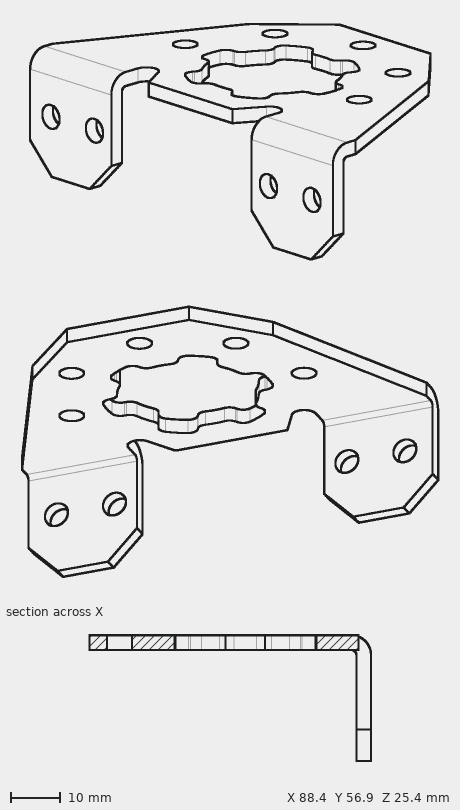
import cadquery as cq
import math

COS_45 = math.cos(math.radians(45))

SHEET = 3.0
INNER_BEND_RADIUS = 1.0
OUTER_BEND_RADIUS = INNER_BEND_RADIUS + SHEET
HALF_WIDTH = 88.39 / 2
HEIGHT = 25.4
LENGTH = 56.9

PITCH_RADIUS = 25.4
HOLE_DIAMETER = 5.0
HOLE_ANGLES = (0, 45, 90, 135, 180)

FRONT_Y = -PITCH_RADIUS
BACK_Y = FRONT_Y + LENGTH
BEND_START_Y = FRONT_Y + OUTER_BEND_RADIUS
BACK_HALF_WIDTH = 13.3
SHOULDER_X = 26.3
SIDE_STRAIGHT = 6.35
SHOULDER_Y = BACK_Y - (SHOULDER_X - BACK_HALF_WIDTH)
SIDE_START_Y = FRONT_Y + SIDE_STRAIGHT

RELIEF_RADIUS = HOLE_DIAMETER / 2
RELIEF_OFFSET = PITCH_RADIUS * COS_45
RELIEF_SLOPE = math.radians(60)
MIDDLE_FRONT_Y = -22.86

TAB_INNER_X = RELIEF_OFFSET + RELIEF_RADIUS
TAB_CHAMFER = 6.35
TAB_HOLE_XS = (25.4, 38.1)
TAB_HOLE_Z = -HEIGHT / 2

CORE_RADIUS = 14.3
LOBE_RADIUS = 17.7
LOBE_WIDTH = 8.0
LOBE_COUNT = 6
LOBE_FILLET = 2.0


def make_plate():
    """Flat plate with relief notches, ending where the bends begin."""
    tangent_x = RELIEF_OFFSET - RELIEF_RADIUS * math.sin(RELIEF_SLOPE)
    tangent_y = -RELIEF_OFFSET + RELIEF_RADIUS * math.cos(RELIEF_SLOPE)
    middle_half_width = tangent_x - (tangent_y - MIDDLE_FRONT_Y) / math.tan(RELIEF_SLOPE)
    relief_top = -RELIEF_OFFSET + RELIEF_RADIUS
    return (
        cq.Workplane("XY")
        .moveTo(-BACK_HALF_WIDTH, BACK_Y)
        .lineTo(BACK_HALF_WIDTH, BACK_Y)
        .lineTo(SHOULDER_X, SHOULDER_Y)
        .lineTo(HALF_WIDTH, SIDE_START_Y)
        .lineTo(HALF_WIDTH, BEND_START_Y)
        .lineTo(TAB_INNER_X, BEND_START_Y)
        .lineTo(TAB_INNER_X, -RELIEF_OFFSET)
        .threePointArc((RELIEF_OFFSET, relief_top), (tangent_x, tangent_y))
        .lineTo(middle_half_width, MIDDLE_FRONT_Y)
        .lineTo(-middle_half_width, MIDDLE_FRONT_Y)
        .lineTo(-tangent_x, tangent_y)
        .threePointArc((-RELIEF_OFFSET, relief_top), (-TAB_INNER_X, -RELIEF_OFFSET))
        .lineTo(-TAB_INNER_X, BEND_START_Y)
        .lineTo(-HALF_WIDTH, BEND_START_Y)
        .lineTo(-HALF_WIDTH, SIDE_START_Y)
        .lineTo(-SHOULDER_X, SHOULDER_Y)
        .close()
        .extrude(-SHEET)
    )


def make_right_tab():
    """Bend and downward tab on the +X side, with its two holes."""
    bend_z = -OUTER_BEND_RADIUS
    outer_offset = OUTER_BEND_RADIUS * COS_45
    inner_offset = INNER_BEND_RADIUS * COS_45
    outer_mid = (BEND_START_Y - outer_offset, bend_z + outer_offset)
    inner_mid = (BEND_START_Y - inner_offset, bend_z + inner_offset)
    tab = (
        cq.Workplane("YZ", origin=(TAB_INNER_X, 0, 0))
        .moveTo(BEND_START_Y, 0)
        .threePointArc(outer_mid, (FRONT_Y, bend_z))
        .lineTo(FRONT_Y, -HEIGHT)
        .lineTo(FRONT_Y + SHEET, -HEIGHT)
        .lineTo(FRONT_Y + SHEET, bend_z)
        .threePointArc(inner_mid, (BEND_START_Y, -SHEET))
        .close()
        .extrude(HALF_WIDTH - TAB_INNER_X)
        .faces("<Z")
        .edges("|Y")
        .chamfer(TAB_CHAMFER)
    )
    holes = (
        cq.Workplane("XZ", origin=(0, FRONT_Y, 0))
        .pushPoints([(x, TAB_HOLE_Z) for x in TAB_HOLE_XS])
        .circle(HOLE_DIAMETER / 2)
        .extrude(-SHEET)
    )
    return tab.cut(holes)


def make_opening():
    """Cutter for the central opening: a round core with six filleted lobes."""
    arms = cq.Workplane("XY").circle(CORE_RADIUS).extrude(-SHEET)
    for index in range(LOBE_COUNT // 2):
        arm = (
            cq.Workplane("XY")
            .rect(2 * LOBE_RADIUS + LOBE_WIDTH, LOBE_WIDTH)
            .extrude(-SHEET)
            .rotate((0, 0, 0), (0, 0, 1), index * 360 / LOBE_COUNT)
        )
        arms = arms.union(arm)
    outer_disc = cq.Workplane("XY").circle(LOBE_RADIUS).extrude(-SHEET)
    return arms.intersect(outer_disc).edges("|Z").fillet(LOBE_FILLET)


def make_plate_holes():
    """Cutter for the round holes on the pitch circle."""
    centres = []
    for angle in HOLE_ANGLES:
        turn = math.radians(angle)
        centres.append((PITCH_RADIUS * math.cos(turn), PITCH_RADIUS * math.sin(turn)))
    return cq.Workplane("XY").pushPoints(centres).circle(HOLE_DIAMETER / 2).extrude(-SHEET)


right_tab = make_right_tab()
left_tab = right_tab.mirror("YZ")
plate = make_plate().cut(make_opening()).cut(make_plate_holes())
result = plate.union(right_tab).union(left_tab)